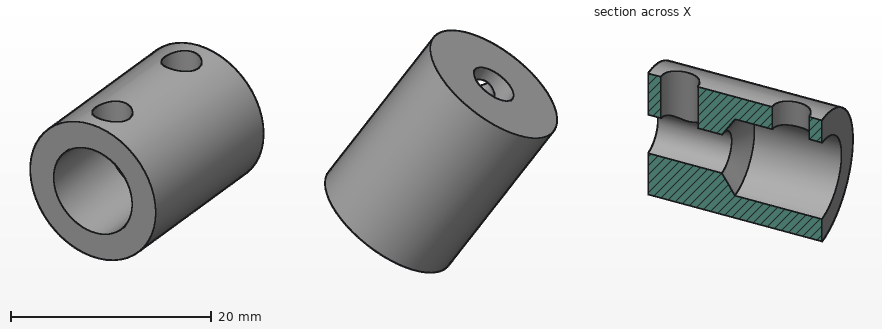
import cadquery as cq
import math

length = 19.05
outer_diameter = 15.24
large_bore_diameter = 9.52
small_bore_diameter = 4.76
large_bore_depth = 9.52
drill_point_angle = 118.0
screw_hole_diameter = 4.04
screw_hole_end_distance = 3.43

outer_radius = outer_diameter / 2
large_bore_radius = large_bore_diameter / 2
small_bore_radius = small_bore_diameter / 2
front_y = -length / 2
back_y = length / 2
bore_step_y = front_y + large_bore_depth
cone_depth = (large_bore_radius - small_bore_radius) / math.tan(math.radians(drill_point_angle / 2))


def make_sleeve():
    """Revolve the wall section, with its conical bore step, about the Y axis."""
    wall_section = (
        cq.Workplane("XY")
        .moveTo(large_bore_radius, front_y)
        .lineTo(outer_radius, front_y)
        .lineTo(outer_radius, back_y)
        .lineTo(small_bore_radius, back_y)
        .lineTo(small_bore_radius, bore_step_y + cone_depth)
        .lineTo(large_bore_radius, bore_step_y)
        .close()
    )
    return wall_section.revolve(360, (0, 0, 0), (0, 1, 0))


def make_screw_hole(y):
    """Vertical cutter from the axis up through the top wall."""
    return cq.Workplane("XY").center(0, y).circle(screw_hole_diameter / 2).extrude(outer_radius)


result = make_sleeve()
for hole_y in (front_y + screw_hole_end_distance, back_y - screw_hole_end_distance):
    result = result.cut(make_screw_hole(hole_y))